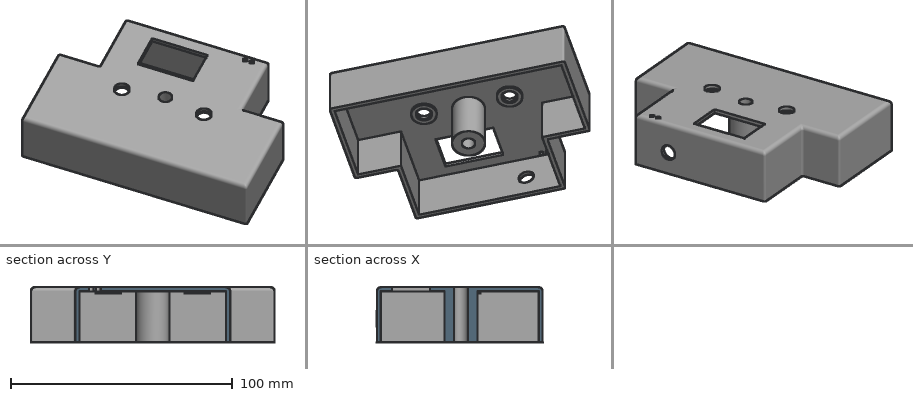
import cadquery as cq

body_width = 110.0
body_depth = 75.0
body_height = 25.0
upper_width = 70.0
lower_depth = 44.0
wall = 2.0
top_edge_radius = 2.0
corner_radius = 1.0
roof_underside = body_height - wall

window_width = 27.0
window_depth = 17.0
window_center = (-5.8, 59.5)

button_diameter = 7.0
button_centers = [(-20.0, 34.0), (20.0, 34.0)]
collar_diameter = 11.5
collar_bore_diameter = 7.2
collar_height = 1.0
collar_underside = roof_underside - collar_height
led_diameter = 2.0
led_centers = [(24.5, 71.8), (27.7, 71.8)]

post_diameter = 15.0
post_bore_diameter = 6.0
post_centers = [(0, 37.0)]

cable_hole_diameter = 7.0
cable_hole_x = 17.0
cable_hole_z = 10.7


def t_block(inset, height):
    """T-shaped block whose sides lie a given inset inside the outer outline."""
    half_lower = body_width / 2 - inset
    half_upper = upper_width / 2 - inset
    front = inset
    step = lower_depth - inset
    back = body_depth - inset
    outline = [
        (-half_lower, front),
        (half_lower, front),
        (half_lower, step),
        (half_upper, step),
        (half_upper, back),
        (-half_upper, back),
        (-half_upper, step),
        (-half_lower, step),
    ]
    return cq.Workplane("XY").polyline(outline).close().extrude(height)


def cylinders(centers, diameter, bottom, top):
    """Upright cylinders between two heights."""
    base = cq.Workplane("XY", origin=(0, 0, bottom))
    return base.pushPoints(centers).circle(diameter / 2).extrude(top - bottom)


outer = t_block(0, body_height).faces(">Z").edges().fillet(top_edge_radius)
outer = outer.edges("|Z").fillet(corner_radius)
cavity = t_block(wall, roof_underside)
case = outer.cut(cavity)

case = case.union(cylinders(post_centers, post_diameter, 0, roof_underside))
case = case.union(cylinders(button_centers, collar_diameter, collar_underside, roof_underside))

window = cq.Workplane("XY").center(*window_center).rect(window_width, window_depth).extrude(body_height)
case = case.cut(window)
case = case.cut(cylinders(button_centers, button_diameter, roof_underside, body_height))
case = case.cut(cylinders(button_centers, collar_bore_diameter, collar_underside, roof_underside))
case = case.cut(cylinders(led_centers, led_diameter, roof_underside, body_height))
case = case.cut(cylinders(post_centers, post_bore_diameter, 0, body_height))

cable_hole = (
    cq.Workplane("XZ", origin=(cable_hole_x, body_depth, cable_hole_z))
    .circle(cable_hole_diameter / 2)
    .extrude(2 * wall)
)
result = case.cut(cable_hole)